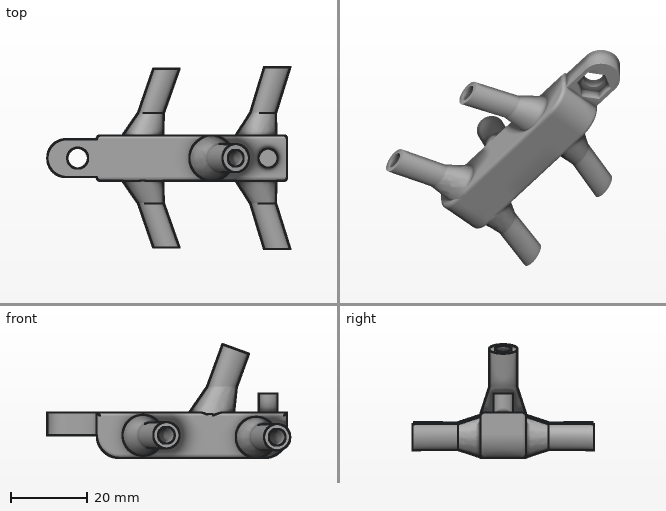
import cadquery as cq
import math

BODY_START_X = 13.0
BODY_END_X = 63.0
BODY_WIDTH = 12.0
BODY_HEIGHT = 12.0
CORNER_RADIUS = 6.0
EDGE_RADIUS = 1.0

TAB_WIDTH = 2 * (BODY_WIDTH / 2 - EDGE_RADIUS)
TAB_THICKNESS = 6.0
TAB_HOLE_X = 8.0
TAB_HOLE_DIAMETER = 5.4
NUT_ACROSS_FLATS = 8.0
NUT_POCKET_DEPTH = 3.0

PIN_X = 58.0
PIN_DIAMETER = 5.0
PIN_HEIGHT = 5.0

BORE_DIAMETER = 4.4
FLARE_SINK = 0.4

TOP_TILT = 20.0
TOP_TUBE_DIAMETER = 7.4
TOP_BASE_X = 43.05
TOP_BASE_DIAMETER = 12.0
TOP_NECK_HEIGHT = 6.7
TOP_TIP_X = 49.5
TOP_TIP_HEIGHT = 16.66

SIDE_BASE_DIAMETER = 11.0
SIDE_NECK_DIAMETER = 6.8
SIDE_TIP_DIAMETER = 6.9
SIDE_NECK_Y = 11.9

TAB_END_PAIR = {"base_x": 25.0, "neck_x": 27.25, "tip_x": 31.3, "z": -6.0, "tip_y": 23.5}
PIN_END_PAIR = {"base_x": 54.75, "neck_x": 56.7, "tip_x": 60.38, "z": -6.5, "tip_y": 23.87}


def make_body():
    length = BODY_END_X - BODY_START_X
    bar = (
        cq.Workplane("XY")
        .box(length, BODY_WIDTH, BODY_HEIGHT, centered=(False, True, False))
        .translate((BODY_START_X, 0, -BODY_HEIGHT))
    )
    bar = bar.edges("|Y and <Z").fillet(CORNER_RADIUS)
    return bar.faces("<Y or >Y").edges().fillet(EDGE_RADIUS)


def make_tab():
    end_radius = TAB_WIDTH / 2
    overlap_x = BODY_START_X + CORNER_RADIUS
    return (
        cq.Workplane("XY")
        .moveTo(overlap_x, -end_radius)
        .lineTo(end_radius, -end_radius)
        .threePointArc((0, 0), (end_radius, end_radius))
        .lineTo(overlap_x, end_radius)
        .close()
        .extrude(-TAB_THICKNESS)
    )


def make_tab_hole():
    """Through hole with a hexagonal nut pocket in the tab underside, two corners along X."""
    nut_across_corners = NUT_ACROSS_FLATS / math.cos(math.radians(30))
    hole = (
        cq.Workplane("XY")
        .center(TAB_HOLE_X, 0)
        .circle(TAB_HOLE_DIAMETER / 2)
        .extrude(-TAB_THICKNESS)
    )
    pocket = (
        cq.Workplane("XY", origin=(TAB_HOLE_X, 0, -TAB_THICKNESS))
        .polygon(6, nut_across_corners)
        .extrude(NUT_POCKET_DEPTH)
    )
    return hole.union(pocket)


def make_pin():
    return cq.Workplane("XY").center(PIN_X, 0).circle(PIN_DIAMETER / 2).extrude(PIN_HEIGHT)


def top_axis_x(height):
    """X of the top nozzle's tube axis at a height above the body."""
    return TOP_TIP_X - (TOP_TIP_HEIGHT - height) * math.tan(math.radians(TOP_TILT))


def top_cylinder(diameter, start_height):
    """Tilted cylinder on the tube axis, from a height to the square-cut tip."""
    tilt = math.radians(TOP_TILT)
    start = cq.Vector(top_axis_x(start_height), 0, start_height)
    direction = cq.Vector(math.sin(tilt), 0, math.cos(tilt))
    length = (TOP_TIP_HEIGHT - start_height) / math.cos(tilt)
    return cq.Workplane(cq.Solid.makeCylinder(diameter / 2, length, start, direction))


def make_top_nozzle():
    tube_radius = TOP_TUBE_DIAMETER / 2
    base_radius = TOP_BASE_DIAMETER / 2
    neck_x = top_axis_x(TOP_NECK_HEIGHT)
    neck_half_length = tube_radius / math.cos(math.radians(TOP_TILT))
    flare = (
        cq.Workplane("XY", origin=(TOP_BASE_X, 0, -FLARE_SINK))
        .circle(base_radius)
        .workplane(offset=TOP_NECK_HEIGHT + FLARE_SINK)
        .center(neck_x - TOP_BASE_X, 0)
        .ellipse(neck_half_length, tube_radius)
        .loft(ruled=True)
    )
    root = (
        cq.Workplane("XY", origin=(TOP_BASE_X, 0, -EDGE_RADIUS))
        .circle(base_radius)
        .extrude(EDGE_RADIUS - FLARE_SINK)
    )
    above_neck = (
        cq.Workplane("XY", origin=(TOP_TIP_X, 0, TOP_NECK_HEIGHT))
        .circle(TOP_TIP_HEIGHT)
        .extrude(2 * TOP_TIP_HEIGHT)
    )
    tube = top_cylinder(TOP_TUBE_DIAMETER, 0).intersect(above_neck)
    return root.union(flare).union(tube)


def loft_along_y(start, start_diameter, end, end_diameter):
    """Ruled loft between two circles parallel to the XZ plane, given by their centres."""
    sections = []
    for centre, diameter in ((start, start_diameter), (end, end_diameter)):
        edge = cq.Edge.makeCircle(diameter / 2, cq.Vector(*centre), cq.Vector(0, 1, 0))
        sections.append(cq.Wire.assembleEdges([edge]))
    return cq.Workplane(cq.Solid.makeLoft(sections, True))


def side_points(pair):
    """Centres of the flare base, neck and tip of the nozzle on the +Y side."""
    base = (pair["base_x"], BODY_WIDTH / 2 - FLARE_SINK, pair["z"])
    neck = (pair["neck_x"], SIDE_NECK_Y, pair["z"])
    tip = (pair["tip_x"], pair["tip_y"], pair["z"])
    return base, neck, tip


def make_side_nozzle(pair):
    base, neck, tip = side_points(pair)
    root_start = (base[0], BODY_WIDTH / 2 - EDGE_RADIUS, base[2])
    root = loft_along_y(root_start, SIDE_BASE_DIAMETER, base, SIDE_BASE_DIAMETER)
    flare = loft_along_y(base, SIDE_BASE_DIAMETER, neck, SIDE_NECK_DIAMETER)
    tube = loft_along_y(neck, SIDE_NECK_DIAMETER, tip, SIDE_TIP_DIAMETER)
    return root.union(flare).union(tube)


def make_side_bore(pair):
    """Bore along the tube axis, from the tip to the plane of the body's side face."""
    neck, tip = side_points(pair)[1:]
    face_y = BODY_WIDTH / 2
    slope = (tip[0] - neck[0]) / (tip[1] - neck[1])
    bore_start = (tip[0] - slope * (tip[1] - face_y), face_y, tip[2])
    return loft_along_y(bore_start, BORE_DIAMETER, tip, BORE_DIAMETER)


result = make_body().union(make_tab()).union(make_pin()).union(make_top_nozzle())
result = result.cut(make_tab_hole()).cut(top_cylinder(BORE_DIAMETER, 0))

for nozzle_pair in (TAB_END_PAIR, PIN_END_PAIR):
    nozzle = make_side_nozzle(nozzle_pair)
    bore = make_side_bore(nozzle_pair)
    result = result.union(nozzle).union(nozzle.mirror("XZ"))
    result = result.cut(bore).cut(bore.mirror("XZ"))